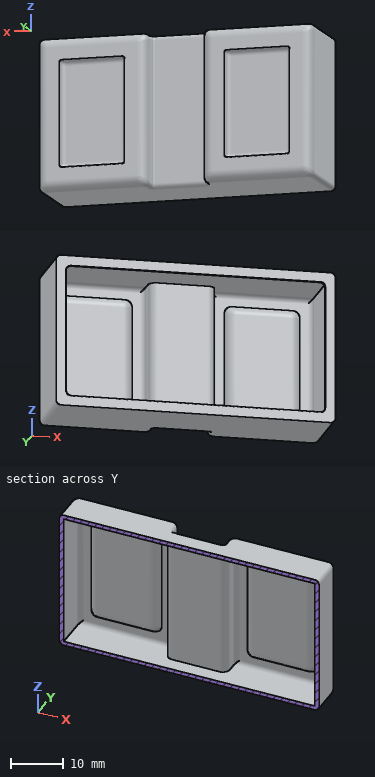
import cadquery as cq

length = 55.0
depth = 16.0
height = 30.0
wall = 1.0
back_y = depth / 2
front_y = -depth / 2

corner_radius = wall
notch_rim_radius = wall
back_edge_radius = 2.0

notch_width = 11.0
notch_depth = 4.0
notch_corner_radius = 0.5

recess_length = 13.0
recess_height = 21.0
recess_depth = 1.5
recess_offset = 16.5
recess_corner_radius = 0.5
recess_floor_radius = 1.0

lip_width = 1.0
lip_thickness = 0.5
mouth_corner_radius = 1.0


def box_between(size_x, size_z, y_start, y_end):
    """Box centred on the Y axis in X and Z, running from y_start to y_end."""
    middle = (y_start + y_end) / 2
    return cq.Workplane("XY").box(size_x, y_end - y_start, size_z).translate((0, middle, 0))


def notch_volume(growth):
    """Notch with its walls and floor grown outward."""
    floor_y = back_y - notch_depth - growth
    notch = box_between(notch_width + 2 * growth, height, floor_y, back_y)
    return notch.edges("|Z and <Y").fillet(notch_corner_radius + growth)


def recess_volumes(growth):
    """Both recesses with their walls and floors grown outward."""
    floor_y = back_y - recess_depth - growth
    recess = box_between(recess_length + 2 * growth, recess_height + 2 * growth, floor_y, back_y)
    recess = recess.edges("|Y").fillet(recess_corner_radius + growth)
    recess = recess.faces("<Y").edges().fillet(recess_floor_radius + growth)
    left = recess.translate((-recess_offset, 0, 0))
    right = recess.translate((recess_offset, 0, 0))
    return left.union(right)


def outer_body():
    """Rounded outside of the tray, with the notch and the recesses but without the cavity."""
    body = box_between(length, height, front_y, back_y)
    body = body.edges("|Y").fillet(corner_radius)
    body = body.cut(notch_volume(0))
    around_notch = cq.selectors.BoxSelector(
        (-notch_width / 2 - wall, back_y - notch_depth - wall, -height),
        (notch_width / 2 + wall, back_y, height),
    )
    body = body.faces("<Z or >Z").edges(around_notch).fillet(notch_rim_radius)
    body = body.faces(">Y").edges().fillet(back_edge_radius)
    return body.cut(recess_volumes(0))


def cavity():
    """Inside of the tray: the outer skin drawn in by the wall, with a narrower mouth at the front."""
    inner_length = length - 2 * wall
    inner_height = height - 2 * wall
    lip_back = front_y + lip_thickness

    space = box_between(inner_length, inner_height, lip_back, back_y - wall)
    space = space.cut(notch_volume(wall))
    space = space.faces(">Y").edges().fillet(back_edge_radius - wall)
    space = space.cut(recess_volumes(wall))

    mouth = box_between(inner_length - 2 * lip_width, inner_height - 2 * lip_width, front_y, lip_back)
    mouth = mouth.edges("|Y").fillet(mouth_corner_radius)
    return space.union(mouth)


result = outer_body().cut(cavity()).solids()